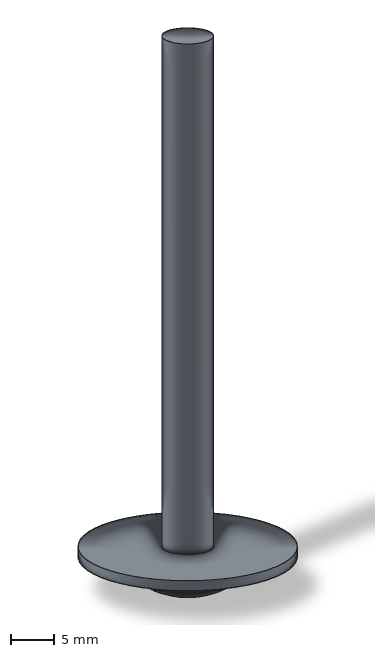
import cadquery as cq

total_height = 68.0
shaft_diameter = 6.0
flange_diameter = 25.4
head_diameter = 12.0

flange_thickness = 1.2
head_rim_height = 2.5
dome_height = 2.0

rim_bottom = dome_height
flange_bottom = rim_bottom + head_rim_height
flange_top = flange_bottom + flange_thickness

shaft_radius = shaft_diameter / 2
flange_radius = flange_diameter / 2
head_radius = head_diameter / 2

dome_radius = (head_radius**2 + dome_height**2) / (2 * dome_height)
arc_mid_x = head_radius / 2
arc_mid_z = dome_radius - (dome_radius**2 - arc_mid_x**2) ** 0.5

result = (
    cq.Workplane("XZ")
    .moveTo(0, 0)
    .threePointArc((arc_mid_x, arc_mid_z), (head_radius, rim_bottom))
    .lineTo(head_radius, flange_bottom)
    .lineTo(flange_radius, flange_bottom)
    .lineTo(flange_radius, flange_top)
    .lineTo(shaft_radius, flange_top)
    .lineTo(shaft_radius, total_height)
    .lineTo(0, total_height)
    .close()
    .revolve(360, (0, 0, 0), (0, 1, 0))
)